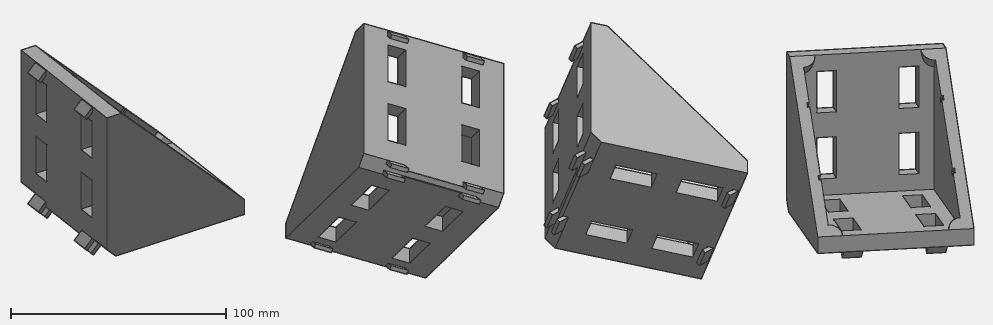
import cadquery as cq
import math

OVERALL = 80.2
WIDTH = 74.0
PLATE = 8.0
CORNER = 5.0
SIDE_WALL = 5.8
POST_RADIUS = 6.1

TAB_LENGTH = 6.0
TAB_THICKNESS = 2.0
TAB_WIDTH = 9.1
TAB_SPACING = 39.95
TAB_END_GAP = 0.5
TAB_ROOT = 0.6

WINDOW_WIDTH = 9.3
WINDOW_LENGTH = 20.0
WINDOW_SPACING = 39.0
WINDOW_START = 16.0
WINDOW_PITCH = 32.0

NOTCH_WIDTH = 2.25
NOTCH_DEPTH = 1.05
NOTCH_LENGTH = 3.2
NOTCH_OFFSETS = (-16.8, 22.1)

DIAGONAL = math.sqrt(2)
LEG = OVERALL - TAB_LENGTH / DIAGONAL
SLOPE_SUM = LEG + PLATE
SLOPE_LENGTH = (LEG - PLATE) * DIAGONAL
INNER_WIDTH = WIDTH - 2 * SIDE_WALL
TAB_OUTER_SPAN = TAB_SPACING + TAB_WIDTH
GROOVE_EDGE = CORNER - TAB_THICKNESS * DIAGONAL
TAB_CENTERS = (-TAB_SPACING / 2, TAB_SPACING / 2)


def prism(points, center_x, width):
    """Extrude a (y, z) outline along X, centred on center_x."""
    outline = cq.Workplane("YZ", origin=(center_x - width / 2, 0, 0))
    return outline.polyline(points).close().extrude(width)


def swap(points):
    """Mirror a (y, z) outline across the plane y = z."""
    return [(z, y) for y, z in points]


def on_slope():
    """Workplane in the middle of the slope: local Y runs uphill, normal points outward."""
    middle = SLOPE_SUM / 2
    return cq.Workplane(cq.Plane(origin=(0, middle, middle), xDir=(-1, 0, 0), normal=(0, 1, 1)))


def body():
    outline = [(0, 0), (LEG, 0), (LEG, PLATE), (PLATE, LEG), (0, LEG)]
    return prism(outline, 0, WIDTH)


def cavity():
    """Opening sunk square to the slope around four corner posts, stopped by the two plates."""
    opening = on_slope().rect(INNER_WIDTH, SLOPE_LENGTH).extrude(-SLOPE_LENGTH)
    corners = on_slope().rect(INNER_WIDTH, SLOPE_LENGTH, forConstruction=True).vertices()
    posts = corners.circle(POST_RADIUS).extrude(-SLOPE_LENGTH)
    inside = [(PLATE, PLATE), (LEG, PLATE), (PLATE, LEG)]
    return opening.cut(posts).intersect(prism(inside, 0, INNER_WIDTH))


def corner_bevels():
    """Bevel of the plate corner, outboard of the tabs."""
    length = (WIDTH - TAB_OUTER_SPAN) / 2
    center = (WIDTH - length) / 2
    triangle = [(0, 0), (CORNER, 0), (0, CORNER)]
    return prism(triangle, -center, length).union(prism(triangle, center, length))


def corner_groove():
    """Diagonal groove between the tab pairs, as deep as the bevel."""
    near = (CORNER - GROOVE_EDGE) / 2
    far = (CORNER + GROOVE_EDGE) / 2
    outline = [(0, 0), (GROOVE_EDGE, 0), (far, near), (near, far), (0, GROOVE_EDGE)]
    return prism(outline, 0, TAB_OUTER_SPAN)


def tab_outline(height):
    """Diagonal strip whose upper side leaves the front face at the given height."""
    reach = TAB_LENGTH / DIAGONAL
    root = TAB_ROOT / DIAGONAL
    step = TAB_THICKNESS / DIAGONAL
    return [
        (-reach, height - reach),
        (root, height + root),
        (root + step, height + root - step),
        (step - reach, height - reach - step),
    ]


def tabs():
    outer = tab_outline(LEG - TAB_END_GAP)
    inner = tab_outline(CORNER)
    strips = cq.Workplane()
    for outline in (outer, inner, swap(outer), swap(inner)):
        for center in TAB_CENTERS:
            strips = strips.add(prism(outline, center, TAB_WIDTH))
    return strips.combine()


def windows():
    """Rectangular windows through both plates."""
    cutters = cq.Workplane()
    for center in (-WINDOW_SPACING / 2, WINDOW_SPACING / 2):
        for start in (WINDOW_START, WINDOW_START + WINDOW_PITCH):
            end = start + WINDOW_LENGTH
            outline = [(0, start), (PLATE, start), (PLATE, end), (0, end)]
            cutters = cutters.add(prism(outline, center, WINDOW_WIDTH))
            cutters = cutters.add(prism(swap(outline), center, WINDOW_WIDTH))
    return cutters.combine()


def notches():
    """Small notches in the rim of both side walls."""
    span = INNER_WIDTH + 2 * NOTCH_DEPTH
    places = [(0, offset) for offset in NOTCH_OFFSETS]
    return on_slope().pushPoints(places).rect(span, NOTCH_WIDTH).extrude(-NOTCH_LENGTH)


result = (
    body()
    .cut(corner_bevels())
    .cut(corner_groove())
    .union(tabs())
    .cut(cavity())
    .cut(windows())
    .cut(notches())
)